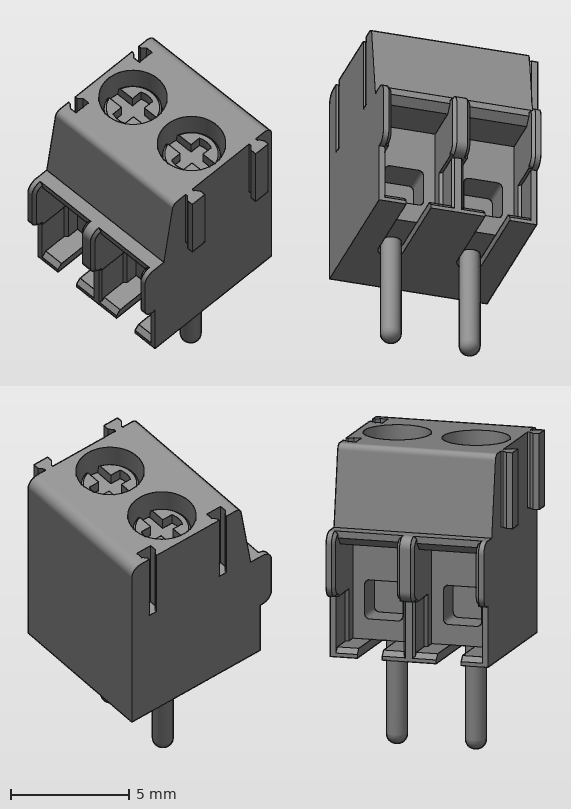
import cadquery as cq
import math


POLES = 2
PITCH = 3.5
WIDTH = POLES * PITCH
HEIGHT = 9.0
BACK_Y = 3.1
FRONT_Y = BACK_Y - 7.0
TOP_FRONT_Y = BACK_Y - 5.91
SLOPE_END_Y = BACK_Y - 6.47
LEDGE_Z = 5.5
BACK_TOP_RADIUS = 0.5
FRONT_TOP_RADIUS = 0.3
LEFT_X = -WIDTH / 2
RIGHT_X = WIDTH / 2
POLE_X = [LEFT_X + PITCH * (i + 0.5) for i in range(POLES)]
DIVIDER_X = [LEFT_X + PITCH * i for i in range(POLES + 1)]

GUARD_FRONT_Y = BACK_Y - 7.6
GUARD_BOTTOM_Z = 2.65
GUARD_RADIUS = 0.5
GUARD_CHAMFER = 0.14
LIP_Y = GUARD_FRONT_Y + GUARD_RADIUS

POCKET_WIDTH = 2.74
POCKET_BACK_Y = BACK_Y - 5.0
FLOOR_Z = 0.39
FLOOR_CHAMFER = 0.22
LIP_BOTTOM_Z = 5.2
CEILING_Z = 4.87
RELIEF_BACK_Y = BACK_Y - 5.54
RELIEF_STEP = 0.13
DIVIDER_CHAMFER = 0.09
DIVIDER_WIDTH = PITCH - POCKET_WIDTH

WIRE_SIZE = 1.7
WIRE_BOTTOM_Z = 1.27
WIRE_CORNER_RADIUS = 0.23
WIRE_DEPTH = 1.4

PIN_DIAMETER = 0.9
PIN_LENGTH = 4.5
PIN_TIP_RADIUS = 0.43
PIN_SLOT_WIDTH = 1.1

SCREW_Y = 0.05
SCREW_HOLE_DIAMETER = 2.9
SCREW_TOP_Z = HEIGHT - 0.72
SCREW_HEAD_RADIUS = 1.22
SCREW_HEAD_CHAMFER = 0.09
SCREW_TAPER = 9.0
DRIVE_DEPTH = 0.5
LONG_SLOT_WIDTH = 0.66
SHORT_SLOT_DIAMETER = 1.8
SHORT_SLOT_WIDTH = 0.71

DOVETAIL_Y = [BACK_Y - 1.15, BACK_Y - 4.96]
DOVETAIL_BOTTOM_Z = 5.7
DOVETAIL_NECK_WIDTH = 0.4
DOVETAIL_HEAD_WIDTH = 0.75
NECK_LENGTH = 0.1
FLARE_LENGTH = 0.2
GROOVE_DEPTH = 0.62
TONGUE_LENGTH = 0.57

OVERLAP = 1.0


def extrude_along_x(yz_points, x_start, x_end):
    """Prism with a Y-Z outline between two X positions."""
    outline = cq.Workplane("YZ", origin=(x_start, 0, 0)).polyline(yz_points).close()
    return outline.extrude(x_end - x_start)


def box_between(low, high):
    """Box from its lowest to its highest corner."""
    size = [b - a for a, b in zip(low, high)]
    return cq.Workplane("XY").box(*size, centered=False).translate(low)


def housing_block():
    """Side profile with its sloped front and the roof lip over the pockets."""
    block = extrude_along_x(
        [
            (BACK_Y, 0),
            (BACK_Y, HEIGHT),
            (TOP_FRONT_Y, HEIGHT),
            (SLOPE_END_Y, LEDGE_Z),
            (LIP_Y, LEDGE_Z),
            (LIP_Y, GUARD_BOTTOM_Z),
            (FRONT_Y, GUARD_BOTTOM_Z),
            (FRONT_Y, 0),
        ],
        LEFT_X,
        RIGHT_X,
    )
    block = block.edges("|X").edges(">Z").edges(">Y").fillet(BACK_TOP_RADIUS)
    return block.faces(">Z").edges("|X").edges("<Y").fillet(FRONT_TOP_RADIUS)


def wire_pocket(x):
    """Pocket with a bevel under the roof lip and a floor that drops at its front edge."""
    outside_y = LIP_Y - OVERLAP
    lip_bevel = LIP_BOTTOM_Z - CEILING_Z
    side = [
        (POCKET_BACK_Y, FLOOR_Z),
        (POCKET_BACK_Y, CEILING_Z),
        (LIP_Y + lip_bevel, CEILING_Z),
        (LIP_Y, LIP_BOTTOM_Z),
        (outside_y, LIP_BOTTOM_Z),
        (outside_y, FLOOR_Z - FLOOR_CHAMFER),
        (FRONT_Y, FLOOR_Z - FLOOR_CHAMFER),
        (FRONT_Y + FLOOR_CHAMFER, FLOOR_Z),
    ]
    main = extrude_along_x(side, x - POCKET_WIDTH / 2, x + POCKET_WIDTH / 2)
    wide = extrude_along_x(side, x - PITCH / 2, x + PITCH / 2)
    return main.union(wide.intersect(pocket_relief(x)))


def pocket_relief(x):
    """Upright prism over the widened lower front of a pocket, with a bevel at each divider edge."""
    inner = POCKET_WIDTH / 2
    outer = inner + RELIEF_STEP
    outside_y = FRONT_Y - OVERLAP
    step = [(inner, RELIEF_BACK_Y), (outer, RELIEF_BACK_Y - RELIEF_STEP)]
    bevel = [
        (outer, FRONT_Y + DIVIDER_CHAMFER),
        (outer + DIVIDER_CHAMFER, FRONT_Y),
        (outer + DIVIDER_CHAMFER, outside_y),
    ]
    plain = [(outer, outside_y)]
    right = step + (plain if x == POLE_X[-1] else bevel)
    left = step + (plain if x == POLE_X[0] else bevel)
    plan = [(x + offset, y) for offset, y in right]
    plan += [(x - offset, y) for offset, y in reversed(left)]
    return cq.Workplane("XY").polyline(plan).close().extrude(GUARD_BOTTOM_Z)


def guard(x):
    """Rounded nose on a divider, chamfered along its outline."""
    nose = box_between(
        (x - DIVIDER_WIDTH / 2, GUARD_FRONT_Y, GUARD_BOTTOM_Z),
        (x + DIVIDER_WIDTH / 2, FRONT_Y, LEDGE_Z),
    )
    nose = nose.faces("<Y").edges("|X").fillet(GUARD_RADIUS)
    nose = nose.faces("<X or >X").edges("not(>Y)").chamfer(GUARD_CHAMFER)
    housing_width = box_between((LEFT_X, GUARD_FRONT_Y, 0), (RIGHT_X, FRONT_Y, HEIGHT))
    return nose.intersect(housing_width)


def wire_opening(x):
    """Square opening with rounded corners in the back wall of a pocket."""
    opening = box_between(
        (x - WIRE_SIZE / 2, POCKET_BACK_Y - OVERLAP, WIRE_BOTTOM_Z),
        (x + WIRE_SIZE / 2, POCKET_BACK_Y + WIRE_DEPTH, WIRE_BOTTOM_Z + WIRE_SIZE),
    )
    return opening.edges("|Y").fillet(WIRE_CORNER_RADIUS)


def pin_slot(x):
    """Slot through the floor, open at the front and round about the pin."""
    half = PIN_SLOT_WIDTH / 2
    channel = box_between((x - half, FRONT_Y - OVERLAP, 0), (x + half, 0, FLOOR_Z))
    round_end = cq.Workplane("XY").center(x, 0).circle(half).extrude(FLOOR_Z)
    return channel.union(round_end)


def solder_pin(x):
    """Round pin hanging from the housing, with a rounded tip."""
    pin = cq.Workplane("XY", origin=(x, 0, -PIN_LENGTH)).circle(PIN_DIAMETER / 2)
    pin = pin.extrude(PIN_LENGTH + FLOOR_Z)
    return pin.faces("<Z").edges().fillet(PIN_TIP_RADIUS)


def screw_hole(x):
    """Round hole that leaves a flared, chamfered screw head standing, with a cross drive."""
    hole_radius = SCREW_HOLE_DIAMETER / 2
    head_side_z = SCREW_TOP_Z - SCREW_HEAD_CHAMFER
    flare_height = (hole_radius - SCREW_HEAD_RADIUS) / math.tan(math.radians(SCREW_TAPER))
    half_section = [
        (0, SCREW_TOP_Z),
        (SCREW_HEAD_RADIUS - SCREW_HEAD_CHAMFER, SCREW_TOP_Z),
        (SCREW_HEAD_RADIUS, head_side_z),
        (hole_radius, head_side_z - flare_height),
        (hole_radius, HEIGHT),
        (0, HEIGHT),
    ]
    hole = cq.Workplane("XZ").polyline(half_section).close()
    hole = hole.revolve(360, (0, 0, 0), (0, 1, 0))

    drive_plane = cq.Workplane("XY", origin=(0, 0, SCREW_TOP_Z - DRIVE_DEPTH))
    long_slot = drive_plane.rect(SCREW_HOLE_DIAMETER, LONG_SLOT_WIDTH).extrude(DRIVE_DEPTH)
    long_slot = long_slot.intersect(drive_plane.circle(hole_radius).extrude(DRIVE_DEPTH))
    short_slot = drive_plane.rect(SHORT_SLOT_WIDTH, SHORT_SLOT_DIAMETER).extrude(DRIVE_DEPTH)
    short_slot = short_slot.intersect(drive_plane.circle(SHORT_SLOT_DIAMETER / 2).extrude(DRIVE_DEPTH))
    return hole.union(long_slot).union(short_slot).translate((x, SCREW_Y, 0))


def dovetail(x, y, length):
    """Dovetail prism that reaches from x toward +X and up to the top of the housing."""
    neck = DOVETAIL_NECK_WIDTH / 2
    head = DOVETAIL_HEAD_WIDTH / 2
    flare_end = NECK_LENGTH + FLARE_LENGTH
    upper_half = [(0, neck), (NECK_LENGTH, neck), (flare_end, head), (length, head)]
    lower_half = [(along, -across) for along, across in reversed(upper_half)]
    plan = cq.Workplane("XY", origin=(x, y, DOVETAIL_BOTTOM_Z)).polyline(upper_half + lower_half)
    return plan.close().extrude(HEIGHT - DOVETAIL_BOTTOM_Z)


result = housing_block()

for pole_x in POLE_X:
    result = result.cut(wire_pocket(pole_x))
    result = result.cut(wire_opening(pole_x))
    result = result.cut(pin_slot(pole_x))
    result = result.cut(screw_hole(pole_x))
    result = result.union(solder_pin(pole_x))

for divider_x in DIVIDER_X:
    result = result.union(guard(divider_x))

for dovetail_y in DOVETAIL_Y:
    result = result.cut(dovetail(LEFT_X, dovetail_y, GROOVE_DEPTH))
    result = result.union(dovetail(RIGHT_X, dovetail_y, TONGUE_LENGTH))